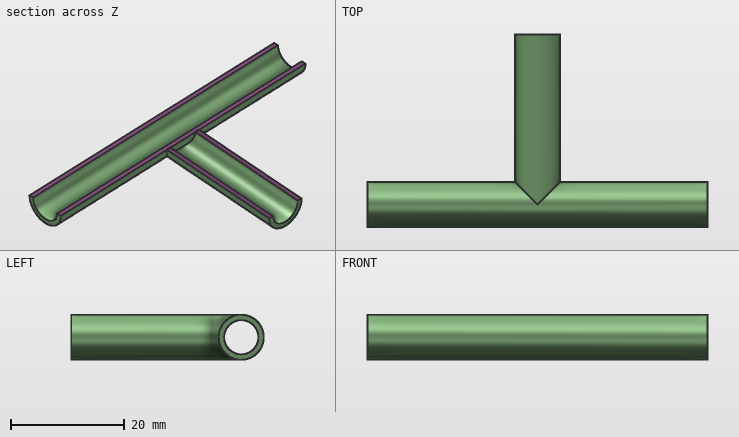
import cadquery as cq

run_length = 60.0
branch_reach = 30.0
outer_diameter = 8.0
bore_diameter = 6.0


def make_run_cylinder(diameter):
    """Solid cylinder along X, as long as the run and centred on the origin."""
    return (
        cq.Workplane("YZ", origin=(-run_length / 2, 0, 0))
        .circle(diameter / 2)
        .extrude(run_length)
    )


def make_run_tube():
    """Straight tube along X, open at both ends."""
    return make_run_cylinder(outer_diameter).cut(make_run_cylinder(bore_diameter))


def make_branch_tube():
    """Tube along +Y whose inner end is coped to saddle the run tube."""
    tube = (
        cq.Workplane("XZ")
        .circle(outer_diameter / 2)
        .circle(bore_diameter / 2)
        .extrude(-branch_reach)
    )
    return tube.cut(make_run_cylinder(outer_diameter))


run_tube = make_run_tube()
branch_tube = make_branch_tube()

result = cq.Compound.makeCompound([run_tube.val(), *branch_tube.solids().vals()])